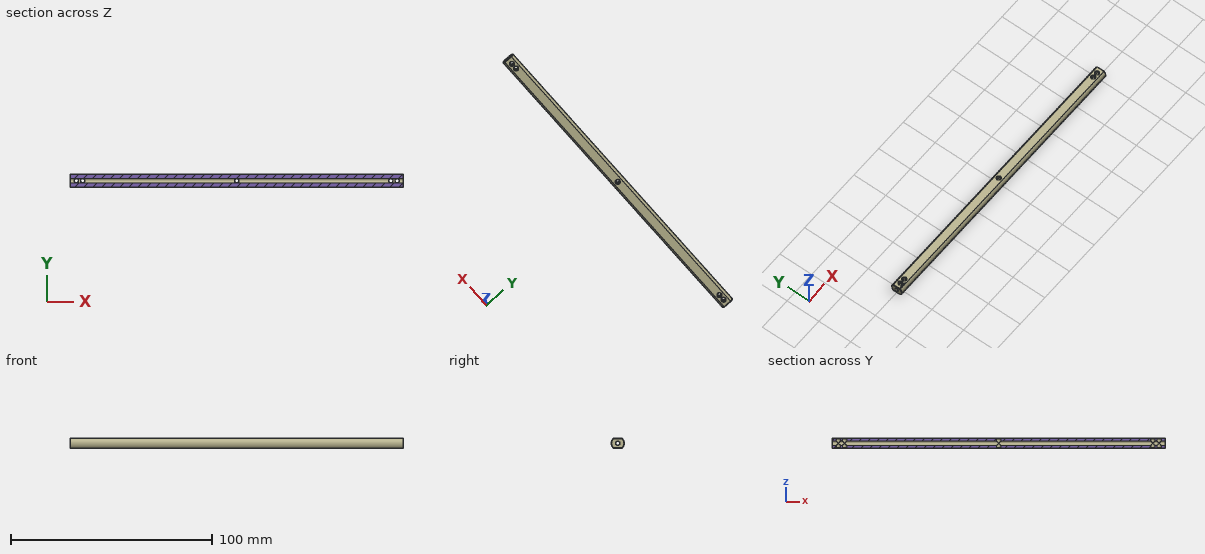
import cadquery as cq

length = 165.62
rod_diameter = 6.6
flat_height = 5.0
end_chamfer = 0.3
bore_diameter = 2.0

cross_hole_diameter = 2.0
countersink_depth = 0.3
end_hole_offset = 3.13
end_hole_pitch = 3.1

groove_length = 3.7
groove_width = 0.3
groove_depth = 0.1
groove_end_offset = 0.7
groove_y = -1.75

half_length = length / 2
half_height = flat_height / 2


def flatted_rod():
    """Round rod with two parallel flats, chamfered at both ends."""
    round_rod = cq.Workplane("YZ").circle(rod_diameter / 2).extrude(half_length, both=True)
    flat_envelope = cq.Workplane("XY").box(length, rod_diameter, flat_height)
    return round_rod.intersect(flat_envelope).faces("<X or >X").chamfer(end_chamfer)


def axial_bore():
    """Cutter for the hole through the whole length of the rod."""
    return cq.Workplane("YZ").circle(bore_diameter / 2).extrude(half_length, both=True)


def cross_hole(x):
    """Cutter for a vertical through hole at x, countersunk at both flats."""
    radius = cross_hole_diameter / 2
    mouth_radius = radius + countersink_depth
    neck_z = half_height - countersink_depth
    half_section = [
        (0, -half_height),
        (mouth_radius, -half_height),
        (radius, -neck_z),
        (radius, neck_z),
        (mouth_radius, half_height),
        (0, half_height),
    ]
    cutter = cq.Workplane("XZ").polyline(half_section).close().revolve(360, (0, 0), (0, 1))
    return cutter.translate((x, 0, 0))


def marking_groove():
    """Cutter for the shallow groove in the top flat near the -X end."""
    centre_x = -half_length + groove_end_offset + groove_length / 2
    centre_z = half_height - groove_depth / 2
    groove = cq.Workplane("XY").box(groove_length, groove_width, groove_depth)
    return groove.translate((centre_x, groove_y, centre_z))


outer_hole_x = half_length - end_hole_offset
inner_hole_x = outer_hole_x - end_hole_pitch

result = flatted_rod().cut(axial_bore()).cut(marking_groove())
for hole_x in (-outer_hole_x, -inner_hole_x, 0, inner_hole_x, outer_hole_x):
    result = result.cut(cross_hole(hole_x))